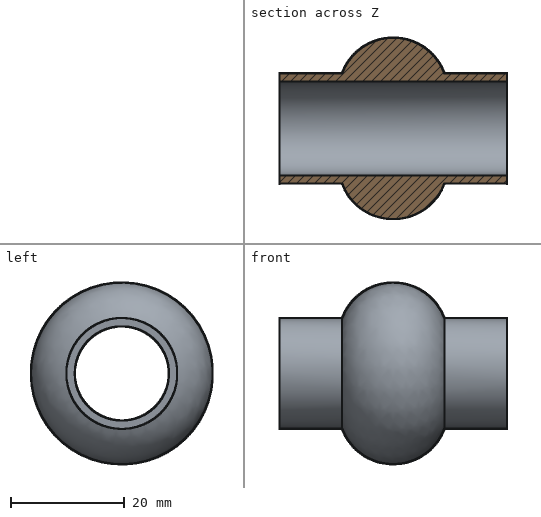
import cadquery as cq

total_length = 40.0
tube_diameter = 19.5
bore_diameter = 16.5
bulge_diameter = 32.0
bulge_width = 18.0

tube_radius = tube_diameter / 2
bore_radius = bore_diameter / 2
bulge_radius = bulge_diameter / 2
half_length = total_length / 2
half_bulge = bulge_width / 2


def turned_body():
    """Revolve the wall section: a straight bore, two tube ends and a rounded bulge between them."""
    section = (
        cq.Workplane("XY")
        .moveTo(-half_length, bore_radius)
        .lineTo(-half_length, tube_radius)
        .lineTo(-half_bulge, tube_radius)
        .threePointArc((0, bulge_radius), (half_bulge, tube_radius))
        .lineTo(half_length, tube_radius)
        .lineTo(half_length, bore_radius)
        .close()
    )
    return section.revolve(360, (0, 0, 0), (1, 0, 0))


result = turned_body()